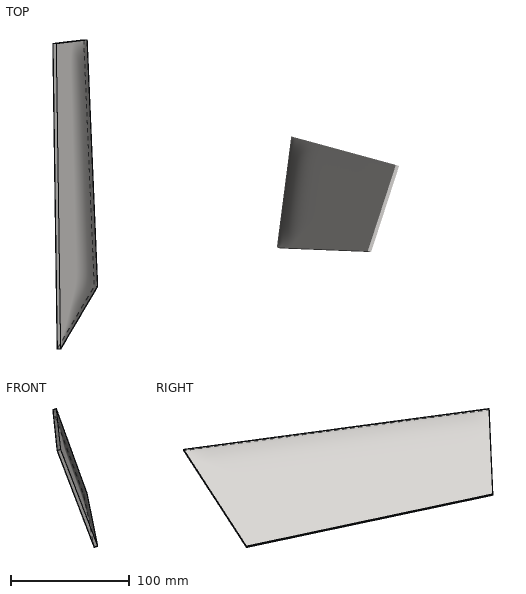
import cadquery as cq

thickness = 3.0

top_back = cq.Vector(0, 257.3, 116.0)
top_front = cq.Vector(3.6, 0, 81.5)
bottom_front = cq.Vector(35.0, 53.0, 0)
bottom_back = cq.Vector(26.0, 260.5, 44.0)

top_edge = top_front - top_back
face_diagonal = bottom_front - top_back
face_plane = cq.Plane(
    origin=top_back,
    xDir=top_edge,
    normal=top_edge.cross(face_diagonal),
)

corners = [top_back, top_front, bottom_front, bottom_back]
local_corners = [face_plane.toLocalCoords(corner) for corner in corners]
outline = [(corner.x, corner.y) for corner in local_corners]

result = cq.Workplane(face_plane).polyline(outline).close().extrude(thickness)